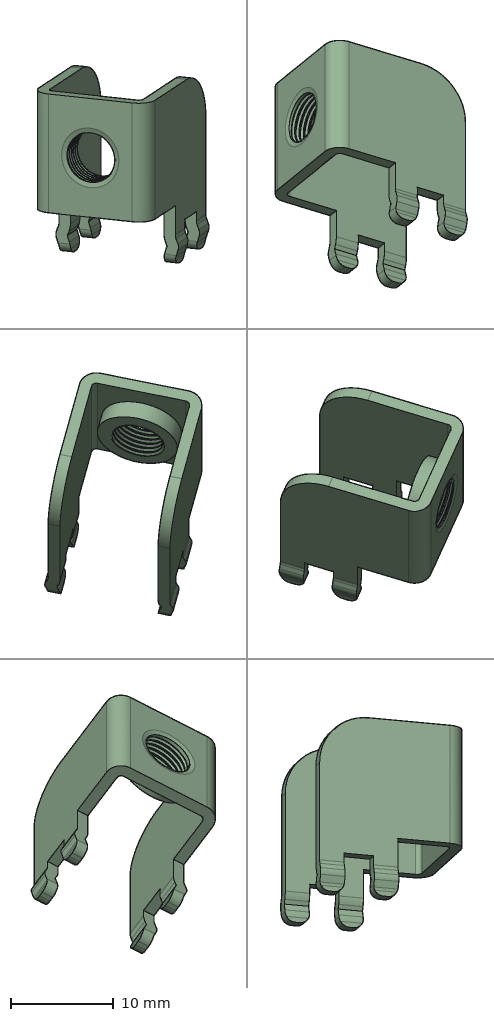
import cadquery as cq
import math


width = 12.2
depth = 15.0
height = 18.0
sheet = 1.2
inner_bend_radius = 0.5
outer_bend_radius = inner_bend_radius + sheet
front_wall_bottom = 6.0
top_corner_radius = 5.0

pin_width = 2.5
pin_gap = 3.0
pin_root = 4.0
pin_tip_radius = 1.0
pins_front = depth - 2 * pin_width - pin_gap

bulge = 0.335
bulge_top = 3.08
bulge_peak = 1.85
bulge_bottom = 0.51
bulge_radius = 1.0

boss_diameter = 8.0
boss_end = 3.0
hole_height = front_wall_bottom + (height - front_wall_bottom) / 2
thread_minor_radius = 2.5
countersink_radius = 3.0
countersink_angle = math.radians(15)
countersink_depth = (countersink_radius - thread_minor_radius) * math.tan(countersink_angle)

flank_tilt = math.radians(30)
thread_pitch = 0.5
thread_depth = 5 / 8 * thread_pitch * math.cos(flank_tilt)
thread_mouth = 3 / 4 * thread_pitch
thread_root = thread_pitch / 8
cutter_overlap = 0.05
thread_start = countersink_depth + thread_mouth / 2


def channel_block(inset, corner_radius):
    """Block with two rounded front corners, set in from the channel's outer faces."""
    return (
        cq.Workplane("XY", origin=(0, 0, pin_root))
        .moveTo(inset - width / 2, inset)
        .rect(width - 2 * inset, depth, centered=False)
        .extrude(height - pin_root)
        .edges("|Z and <Y")
        .fillet(corner_radius)
    )


def channel():
    """U-shaped folded sheet, reaching down to the pin roots."""
    return channel_block(0, outer_bend_radius).cut(channel_block(sheet, inner_bend_radius))


def bend_angle(run):
    """Tilt of the straight stretch that joins the valley arc to the peak arc over a given height."""
    radii = 2 * bulge_radius
    rest = radii - bulge
    return math.asin(radii / math.hypot(run, rest)) - math.atan2(rest, run)


def pin_strip():
    """Right-hand strip of sheet below the pin roots, bulged outward, spanning both pins."""
    outer_x = width / 2
    inner_x = outer_x - sheet
    upper = bend_angle(bulge_top - bulge_peak)
    lower = bend_angle(bulge_peak - bulge_bottom)
    valley_x = outer_x + bulge_radius
    peak_x = outer_x + bulge - bulge_radius
    inner_radius = bulge_radius + sheet

    def upper_valley(radius, angle):
        return (valley_x - radius * math.cos(angle), bulge_top - radius * math.sin(angle))

    def lower_valley(radius, angle):
        return (valley_x - radius * math.cos(angle), bulge_bottom + radius * math.sin(angle))

    def peak(angle):
        return (peak_x + bulge_radius * math.cos(angle), bulge_peak + bulge_radius * math.sin(angle))

    upper_x, upper_z = upper_valley(inner_radius, upper)
    lower_x, lower_z = lower_valley(inner_radius, lower)
    crease_z = (upper_x - lower_x + upper_z * math.tan(upper) + lower_z * math.tan(lower)) / (
        math.tan(upper) + math.tan(lower)
    )
    crease_x = lower_x + (crease_z - lower_z) * math.tan(lower)

    return (
        cq.Workplane("XZ", origin=(0, depth, 0))
        .moveTo(outer_x, pin_root)
        .lineTo(outer_x, bulge_top)
        .threePointArc(upper_valley(bulge_radius, upper / 2), upper_valley(bulge_radius, upper))
        .lineTo(*peak(upper))
        .threePointArc(peak(0), peak(-lower))
        .lineTo(*lower_valley(bulge_radius, lower))
        .threePointArc(lower_valley(bulge_radius, lower / 2), (outer_x, bulge_bottom))
        .lineTo(outer_x, 0)
        .lineTo(inner_x, 0)
        .lineTo(inner_x, bulge_bottom)
        .threePointArc(lower_valley(inner_radius, lower / 2), (lower_x, lower_z))
        .lineTo(crease_x, crease_z)
        .lineTo(upper_x, upper_z)
        .threePointArc(upper_valley(inner_radius, upper / 2), (inner_x, bulge_top))
        .lineTo(inner_x, pin_root)
        .close()
        .extrude(depth - pins_front)
    )


def side_outline():
    """Block with the side-on outline of the part: rounded top corner and two rounded pins."""
    block_width = 2 * width
    plane = cq.Workplane("YZ", origin=(-width, 0, 0))
    wall = (
        plane.moveTo(0, height)
        .lineTo(0, front_wall_bottom)
        .lineTo(pins_front, front_wall_bottom)
        .lineTo(pins_front, pin_root)
        .lineTo(depth, pin_root)
        .lineTo(depth, height - top_corner_radius)
        .radiusArc((depth - top_corner_radius, height), -top_corner_radius)
        .close()
        .extrude(block_width)
    )
    for pin_start in (pins_front, depth - pin_width):
        pin = (
            plane.moveTo(pin_start, 0)
            .rect(pin_width, pin_root, centered=False)
            .extrude(block_width)
            .edges("|X and <Z")
            .fillet(pin_tip_radius)
        )
        wall = wall.union(pin)
    return wall


def hole_bar(radius, start, end):
    """Round bar on the hole axis between two distances behind the outer face of the front wall."""
    return cq.Workplane("XZ", origin=(0, start, hole_height)).circle(radius).extrude(start - end)


def countersink():
    """Shallow cone that opens the thread at the outer face of the front wall."""
    return (
        cq.Workplane("YZ", origin=(0, 0, hole_height))
        .lineTo(0, countersink_radius)
        .lineTo(countersink_depth, thread_minor_radius)
        .lineTo(countersink_depth, 0)
        .close()
        .revolve(360, (0, 0), (1, 0))
    )


def thread_groove():
    """Helical groove that starts on the +X side of the hole and runs out through the end of the boss."""
    length = boss_end - thread_start + thread_pitch
    helix = cq.Wire.makeHelix(thread_pitch, length, thread_minor_radius)
    half_root = thread_root / 2
    half_inner = thread_mouth / 2 + cutter_overlap * math.tan(flank_tilt)
    inner = thread_minor_radius - cutter_overlap
    outer = thread_minor_radius + thread_depth
    return (
        cq.Workplane("XZ")
        .polyline([(inner, -half_inner), (outer, -half_root), (outer, half_root), (inner, half_inner)])
        .close()
        .sweep(cq.Workplane(obj=helix), isFrenet=True)
        .rotate((0, 0, 0), (1, 0, 0), -90)
        .translate((0, thread_start, hole_height))
    )


def threaded_boss():
    """Boss with its bore, threaded while overlong so the groove runs out at the trimmed end."""
    spare = 4 * thread_pitch
    radius = boss_diameter / 2
    overlong = hole_bar(radius, -spare, boss_end + spare)
    bore = hole_bar(thread_minor_radius, -spare, boss_end + spare)
    threaded = overlong.cut(bore).cut(thread_groove())
    return threaded.intersect(hole_bar(radius, 0, boss_end)).cut(countersink())


strip = pin_strip()
sheet_metal = channel().union(strip).union(strip.mirror("YZ")).intersect(side_outline())
boss_opening = hole_bar(boss_diameter / 2, 0, sheet)
result = sheet_metal.cut(boss_opening).union(threaded_boss()).solids()